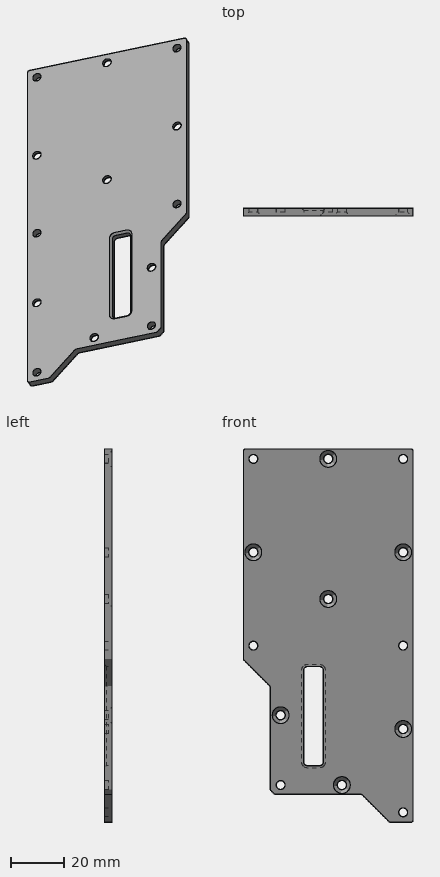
import cadquery as cq

width = 63.5
height = 139.7
thickness = 3.0

left_step = 10.0
left_step_bottom = 50.9
bottom_step = 10.5
bottom_step_end = 54.8
step_chamfer = 1.7
corner_radius = 1.0

plain_hole_diameter = 3.2
countersunk_hole_diameter = 3.4
countersink_diameter = 6.3
countersink_angle = 90
edge_distance = 3.8
step_column = 14
raised_row = 14
step_row = 40.1
right_lower_row = 34.9
lower_column = 36.9
row_pitch = 34.9

slot_left = 22.6
slot_bottom = 21.2
slot_width = 7.3
slot_height = 37.0
slot_radius = 1.4
slot_back_chamfer = 0.8

left_column = edge_distance
right_column = width - edge_distance
middle_column = width / 2
top_row = height - edge_distance
second_row = top_row - row_pitch
third_row = second_row - row_pitch
centre_row = (second_row + third_row) / 2
bottom_row = edge_distance

plain_holes = [
    (left_column, top_row),
    (right_column, top_row),
    (left_column, third_row),
    (right_column, third_row),
    (step_column, raised_row),
    (right_column, bottom_row),
]
countersunk_holes = [
    (middle_column, top_row),
    (left_column, second_row),
    (right_column, second_row),
    (middle_column, centre_row),
    (step_column, step_row),
    (right_column, right_lower_row),
    (lower_column, raised_row),
]


def make_plate():
    """Plate outline with 45 degree slopes and rounded corners, extruded towards +Y."""
    outline = [
        (0, height),
        (width, height),
        (width, 0),
        (bottom_step_end, 0),
        (bottom_step_end - bottom_step, bottom_step),
        (left_step + step_chamfer, bottom_step),
        (left_step, bottom_step + step_chamfer),
        (left_step, left_step_bottom),
        (0, left_step_bottom + left_step),
    ]
    plate = cq.Workplane("XZ").polyline(outline).close().extrude(-thickness)
    return plate.edges("|Y").fillet(corner_radius)


def cut_slot(plate):
    """Upright opening with rounded corners and a bevel around its back edge."""
    slot = (
        cq.Workplane("XZ")
        .center(slot_left + slot_width / 2, slot_bottom + slot_height / 2)
        .rect(slot_width, slot_height)
        .extrude(-thickness)
        .edges("|Y")
        .fillet(slot_radius)
    )
    back_rim = plate.cut(slot).faces(">Y").wires(cq.selectors.AreaNthSelector(0))
    return back_rim.edges().chamfer(slot_back_chamfer)


plate = cut_slot(make_plate())
front_face = cq.Workplane("XZ")
plate = plate.copyWorkplane(front_face).pushPoints(plain_holes).hole(plain_hole_diameter)
result = (
    plate.copyWorkplane(front_face)
    .pushPoints(countersunk_holes)
    .cskHole(countersunk_hole_diameter, countersink_diameter, countersink_angle)
)